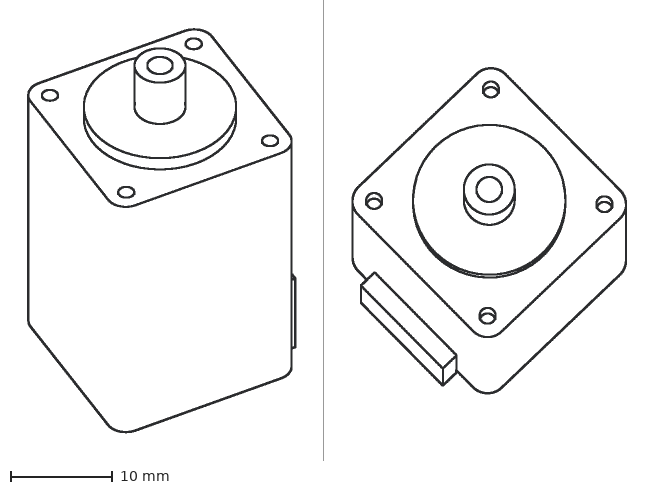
import cadquery as cq

body_width = 20.2
body_height = 30.0
corner_radius = 2.0

pilot_diameter = 15.0
pilot_height = 1.5

shaft_diameter = 5.0
bore_diameter = 2.5
total_length = 44.0
shaft_below = 7.0

mount_diameter = 1.6
mount_spacing = 16.0
mount_depth = 3.0

connector_width = 11.55
connector_height = 9.15
connector_depth = 1.9
connector_drop = 0.95


def make_body():
    """Square body with rounded vertical edges and four mounting holes."""
    body = (
        cq.Workplane("XY")
        .rect(body_width, body_width)
        .extrude(body_height)
        .edges("|Z")
        .fillet(corner_radius)
    )
    holes = (
        cq.Workplane("XY", origin=(0, 0, body_height))
        .rect(mount_spacing, mount_spacing, forConstruction=True)
        .vertices()
        .circle(mount_diameter / 2)
        .extrude(-mount_depth)
    )
    return body.cut(holes)


def make_cylinder(diameter, bottom, length):
    """Vertical cylinder on the motor axis."""
    return cq.Workplane("XY", origin=(0, 0, bottom)).circle(diameter / 2).extrude(length)


def make_connector():
    """Rectangular block standing on the +Y face."""
    return cq.Workplane("XY").box(
        connector_width, connector_depth, connector_height, centered=(True, False, False)
    ).translate((0, body_width / 2, -connector_drop))


pilot = make_cylinder(pilot_diameter, body_height, pilot_height)
shaft = make_cylinder(shaft_diameter, -shaft_below, total_length)
bore = make_cylinder(bore_diameter, -shaft_below, total_length)

result = make_body().union(pilot).union(shaft).union(make_connector()).cut(bore)